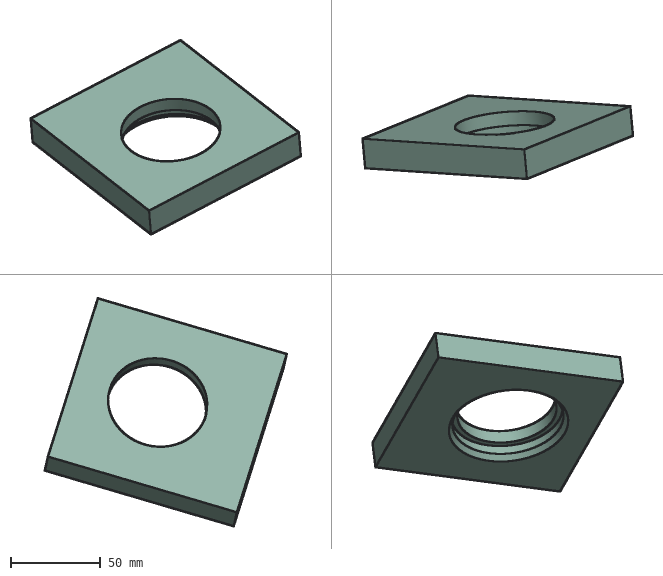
import cadquery as cq

plate_length = 110.0
plate_width = 105.0
plate_thickness = 17.0
tilt_angle = 6.1

bore_radius = 27.8
bore_depth = 8.0
bore_offset = 5.6
counterbore_radius = 31.1

lead_in_height = 3.6
lead_in_width = 2.3


def make_plate():
    return cq.Workplane("XY").box(plate_length, plate_width, plate_thickness)


def make_bore_cutter():
    top = plate_thickness / 2
    bottom = -top
    shoulder = top - bore_depth
    half_profile = (
        cq.Workplane("XZ")
        .moveTo(0, top)
        .lineTo(bore_radius, top)
        .lineTo(bore_radius, shoulder)
        .lineTo(counterbore_radius, shoulder)
        .lineTo(counterbore_radius, bottom + lead_in_height)
        .lineTo(counterbore_radius + lead_in_width, bottom)
        .lineTo(0, bottom)
        .close()
    )
    cutter = half_profile.revolve(360, (0, 0, 0), (0, 1, 0))
    return cutter.translate((bore_offset, 0, 0))


level_plate = make_plate().cut(make_bore_cutter())
result = level_plate.rotate((0, 0, 0), (0, 1, 0), -tilt_angle)